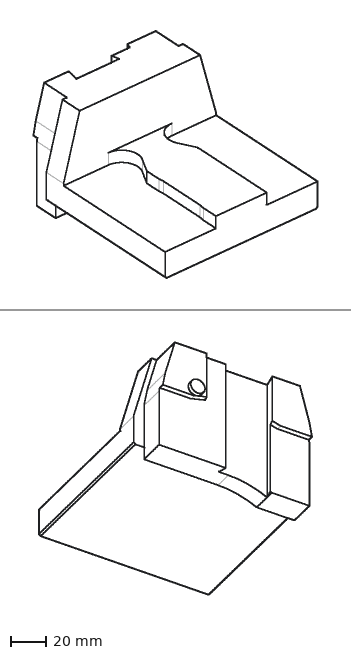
import cadquery as cq
import math

total_height = 79.0
base_length = 105.25
base_half_width = 57.0
base_bottom = 14.5
base_top = 32.8
base_edge_chamfer = 1.1

wall_thickness = 15.25
wall_shoulder_height = 34.3
wall_top_half_width = 45.0

pad_height = 8.4
pad_half_width = 19.0
neck_radius = 12.0
neck_center_x = wall_thickness + neck_radius
neck_center_y = 23.7
neck_ramp_end_x = wall_thickness + 28.7

relief_depth = 0.5
relief_start_x = wall_thickness + 39.1
relief_end_x = wall_thickness + 78.6
relief_ramp_length = 3.5

plate_thickness = 16.75
plate_half_width = 50.1
plate_bend_low = 44.2
plate_bend_high = 55.6
plate_bend_half_width = 48.0
plate_top_half_width = 41.7
plate_left_bottom = 6.1
plate_arc_start_y = 1.0

channel_depth = 5.3
channel_left_mouth_y = 5.7
channel_left_root_y = 7.1
channel_right_root_y = -25.0
channel_right_face_y = -23.3

face_thickness = 3.5
face_bottom = 46.2
left_face_inner_y = 19.4
left_face_front_inner_y = 20.5
left_face_corner_height = 48.7
left_face_corner_y = 29.0
right_face_corner_height = 47.7
right_face_corner_y = -28.6

pin_diameter = 9.5
pin_length = 2.75
pin_y = 28.0
pin_height = 51.4

plate_front_x = -plate_thickness
face_front_x = plate_front_x - face_thickness
channel_floor_x = plate_front_x + channel_depth


def make_base():
    slab = cq.Workplane("XY").box(
        base_length, 2 * base_half_width, base_top - base_bottom, centered=(False, True, False)
    )
    return slab.translate((0, 0, base_bottom)).edges("|X and <Z").chamfer(base_edge_chamfer)


def make_wall():
    wall = (
        cq.Workplane("YZ")
        .moveTo(-base_half_width, base_bottom)
        .lineTo(base_half_width, base_bottom)
        .lineTo(base_half_width, wall_shoulder_height)
        .lineTo(wall_top_half_width, total_height)
        .lineTo(-wall_top_half_width, total_height)
        .lineTo(-base_half_width, wall_shoulder_height)
        .close()
        .extrude(wall_thickness)
    )
    return wall.edges("|X and <Z").chamfer(base_edge_chamfer)


def cut_neck(pad, side):
    """Remove the rounded neck and its tangent ramp from one side of the pad (side is +1 or -1)."""
    run = neck_ramp_end_x - neck_center_x
    rise = neck_center_y - pad_half_width
    ramp_angle = math.atan2(run, rise) - math.acos(neck_radius / math.hypot(run, rise))

    def on_arc(angle):
        x = neck_center_x + neck_radius * math.sin(angle)
        y = neck_center_y - neck_radius * math.cos(angle)
        return (x, side * y)

    neck = (
        cq.Workplane("XY", origin=(0, 0, base_top))
        .moveTo(*on_arc(-math.pi / 2))
        .threePointArc(on_arc(0), on_arc(ramp_angle))
        .lineTo(neck_ramp_end_x, side * pad_half_width)
        .lineTo(neck_ramp_end_x, side * neck_center_y)
        .close()
        .extrude(pad_height)
    )
    return pad.cut(neck)


def make_pad():
    pad = (
        cq.Workplane("XY", origin=(0, 0, base_top))
        .moveTo(wall_thickness, neck_center_y)
        .lineTo(neck_ramp_end_x, neck_center_y)
        .lineTo(neck_ramp_end_x, pad_half_width)
        .lineTo(base_length, pad_half_width)
        .lineTo(base_length, -pad_half_width)
        .lineTo(neck_ramp_end_x, -pad_half_width)
        .lineTo(neck_ramp_end_x, -neck_center_y)
        .lineTo(wall_thickness, -neck_center_y)
        .close()
        .extrude(pad_height)
    )
    for side in (1, -1):
        pad = cut_neck(pad, side)
    relief_y = relief_depth - pad_half_width
    relief = (
        cq.Workplane("XY", origin=(0, 0, base_top))
        .moveTo(relief_start_x, -pad_half_width)
        .lineTo(relief_start_x + relief_ramp_length, relief_y)
        .lineTo(relief_end_x - relief_ramp_length, relief_y)
        .lineTo(relief_end_x, -pad_half_width)
        .close()
        .extrude(pad_height)
    )
    return pad.cut(relief)


def extrude_plate_outline(thickness):
    """Front plate silhouette grown forwards (-X) from X = 0."""
    arc_run = plate_arc_start_y - channel_right_root_y
    arc_radius = (arc_run**2 + plate_left_bottom**2) / (2 * plate_left_bottom)
    arc_mid_y = plate_arc_start_y - arc_run / 2
    arc_mid_z = plate_left_bottom - arc_radius + math.sqrt(arc_radius**2 - (arc_run / 2) ** 2)
    return (
        cq.Workplane("YZ")
        .moveTo(plate_half_width, plate_left_bottom)
        .lineTo(plate_half_width, plate_bend_low)
        .lineTo(plate_bend_half_width, plate_bend_high)
        .lineTo(plate_top_half_width, total_height)
        .lineTo(-plate_top_half_width, total_height)
        .lineTo(-plate_bend_half_width, plate_bend_high)
        .lineTo(-plate_half_width, plate_bend_low)
        .lineTo(-plate_half_width, 0)
        .lineTo(channel_right_root_y, 0)
        .threePointArc((arc_mid_y, arc_mid_z), (plate_arc_start_y, plate_left_bottom))
        .close()
        .extrude(-thickness)
    )


def make_raised_face(outer_y, corner_y, inner_y, corner_height):
    """Raised face with a flat lower edge that slopes up towards the channel."""
    return (
        cq.Workplane("YZ", origin=(plate_front_x, 0, 0))
        .moveTo(outer_y, face_bottom)
        .lineTo(corner_y, face_bottom)
        .lineTo(inner_y, corner_height)
        .lineTo(inner_y, total_height)
        .lineTo(outer_y, total_height)
        .close()
        .extrude(-face_thickness)
    )


def make_left_face():
    face = make_raised_face(plate_half_width, left_face_corner_y, left_face_inner_y, left_face_corner_height)
    draft = (
        cq.Workplane("XY")
        .moveTo(plate_front_x, left_face_inner_y)
        .lineTo(face_front_x, left_face_inner_y)
        .lineTo(face_front_x, left_face_front_inner_y)
        .close()
        .extrude(total_height)
    )
    return face.cut(draft)


def make_right_face():
    return make_raised_face(
        -plate_half_width, right_face_corner_y, channel_right_face_y, right_face_corner_height
    )


def make_channel():
    return (
        cq.Workplane("XY")
        .moveTo(channel_floor_x, channel_left_root_y)
        .lineTo(plate_front_x, channel_left_mouth_y)
        .lineTo(face_front_x, channel_left_mouth_y)
        .lineTo(face_front_x, channel_right_face_y)
        .lineTo(channel_floor_x, channel_right_root_y)
        .close()
        .extrude(total_height)
    )


def make_front_plate():
    plate = extrude_plate_outline(plate_thickness)
    faces = make_left_face().union(make_right_face())
    faces = faces.intersect(extrude_plate_outline(plate_thickness + face_thickness))
    return plate.union(faces).cut(make_channel())


def make_pin():
    return (
        cq.Workplane("YZ", origin=(face_front_x, pin_y, pin_height))
        .circle(pin_diameter / 2)
        .extrude(-pin_length)
    )


result = make_base().union(make_wall()).union(make_pad()).union(make_front_plate()).union(make_pin())